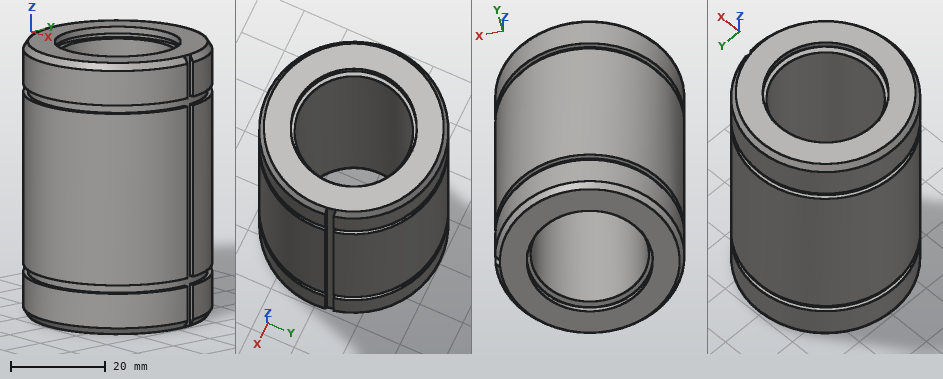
import cadquery as cq

length = 59.0
outer_radius = 40.0 / 2
shoulder_radius = 38.0 / 2
chamfer_height = 1.55

groove_offset = 9.0
groove_width = 1.8

bore_radius = 25.0 / 2
lip_radius = 26.6 / 2
undercut_radius = 28.2 / 2
lip_depth = 1.5
undercut_depth = 2.4

slot_bottom_y = 2.5
slot_top_y = 4.3


def tube(outer, inner, bottom, height):
    """Ring about Z between two radii, starting at the given level."""
    return cq.Workplane("XY").workplane(offset=bottom).circle(outer).circle(inner).extrude(height)


def disc(radius, bottom, height):
    """Cylinder about Z, starting at the given level."""
    return cq.Workplane("XY").workplane(offset=bottom).circle(radius).extrude(height)


body = disc(outer_radius, 0, length)
body = body.faces("<Z or >Z").chamfer(chamfer_height, outer_radius - shoulder_radius)
body = body.cut(disc(bore_radius, 0, length))

for bottom in (groove_offset, length - groove_offset - groove_width):
    body = body.cut(tube(outer_radius, shoulder_radius, bottom, groove_width))

undercut_height = undercut_depth - lip_depth
for lip_bottom, undercut_bottom in (
    (0, lip_depth),
    (length - lip_depth, length - undercut_depth),
):
    body = body.cut(disc(lip_radius, lip_bottom, lip_depth))
    body = body.cut(disc(undercut_radius, undercut_bottom, undercut_height))

slot = (
    cq.Workplane("XY")
    .center(outer_radius, (slot_bottom_y + slot_top_y) / 2)
    .rect(outer_radius, slot_top_y - slot_bottom_y)
    .extrude(length)
    .cut(disc(shoulder_radius, 0, length))
)
result = body.cut(slot)